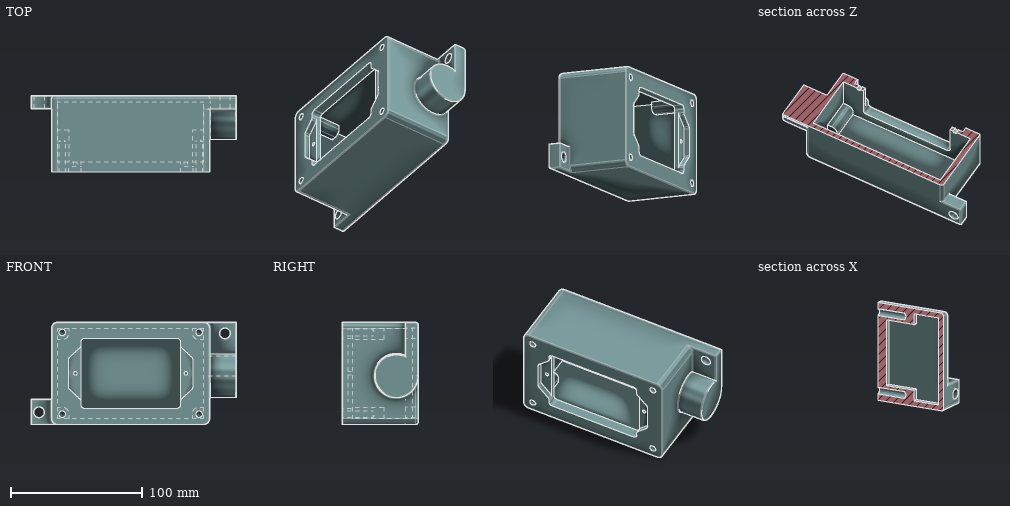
import cadquery as cq
import math

total_length = 156.8
body_depth = 58.3
body_height = 78.3
body_left = 15.7
body_right = 136.5
corner_radius = 4.7
back_radius = 2.4
edge_radius = 0.6

wall = 4.7
lip_thickness = 7.8
opening_length = 76.0
opening_height = 53.5
opening_radius = 2.8

ear_span = 94.9
ear_tip_height = 22.9
ear_root_height = 40.6
ear_recess = 4.4
ear_corner_radius = 2.4
ear_hole_spacing = 84.4
ear_hole_diameter = 2.7

screw_spacing_x = 104.5
screw_spacing_z = 62.5
screw_diameter = 5.0
screw_depth = 23.5
drill_point_angle = 118
boss_size = 8.5
boss_radius = 4.7
boss_length = 24.3

lug_thickness = 10.0
left_lug_height = 19.5
lug_hole_diameter = 8.0
left_hole = (6.1, 9.4)
right_hole = (148.0, 69.6)

hub_radius = 16.6
hub_axis_from_back = 17.0
hub_axis_z = 37.2

center_x = (body_left + body_right) / 2
center_z = body_height / 2
lug_front_y = body_depth - lug_thickness
hub_axis_y = body_depth - hub_axis_from_back
lug_y = (lug_front_y, body_depth)
cavity_x = (body_left + wall, body_right - wall)
cavity_y = (lip_thickness, body_depth - wall)
cavity_z = (wall, body_height - wall)


def box(x_range, y_range, z_range):
    """Box between two limits on each axis."""
    (x0, x1), (y0, y1), (z0, z1) = x_range, y_range, z_range
    return cq.Workplane("XY").box(x1 - x0, y1 - y0, z1 - z0, centered=False).translate((x0, y0, z0))


def front_sketch():
    """Sketch plane on the front face, centred on the body."""
    return cq.Workplane("XZ", origin=(center_x, 0, center_z))


def make_body():
    body = box((body_left, body_right), (0, body_depth), (0, body_height))
    body = body.edges("|Y").fillet(corner_radius)
    body = body.faces(">Y").edges().fillet(back_radius)
    return body.faces("<Y").edges().fillet(edge_radius)


def make_left_lug():
    lug = box((0, body_left + corner_radius), lug_y, (0, left_lug_height))
    lug = lug.edges(">Y and <Z").fillet(back_radius)
    return lug.faces("<X or <Y or >Z").edges("not >X").fillet(edge_radius)


def make_right_lug_and_hub():
    """Lug from the hub axis up to the top, joined to the round hub."""
    start_x = body_right - corner_radius
    lug = box((start_x, total_length), lug_y, (hub_axis_z, body_height))
    lug = lug.edges(">Y and >Z").fillet(back_radius)
    lug = lug.edges("<Y and >Z").fillet(edge_radius)
    hub = cq.Workplane("YZ", origin=(start_x, hub_axis_y, hub_axis_z)).circle(hub_radius)
    hub = hub.extrude(total_length - start_x)
    return lug.union(hub).faces(">X").edges().fillet(edge_radius)


def make_boss(side_x, side_z):
    """Screw boss filling one corner of the cavity, rounded toward the middle."""
    x_wall = cavity_x[side_x]
    z_wall = cavity_z[side_z]
    x_inner = x_wall + boss_size * (1 - 2 * side_x)
    z_inner = z_wall + boss_size * (1 - 2 * side_z)
    boss_y = (lip_thickness, lip_thickness + boss_length)
    boss = box(sorted((x_wall, x_inner)), boss_y, sorted((z_wall, z_inner)))
    inner_edge = ("<X" if side_x else ">X") + " and " + ("<Z" if side_z else ">Z")
    return boss.edges("|Y").edges(inner_edge).fillet(boss_radius)


def make_cavity():
    cavity = box(cavity_x, cavity_y, cavity_z)
    for side_x in (0, 1):
        for side_z in (0, 1):
            cavity = cavity.cut(make_boss(side_x, side_z))
    return cavity


def make_opening():
    """Window through the lip with a shallow, round-cornered ear on each side."""
    opening = front_sketch().rect(opening_length, opening_height).extrude(-lip_thickness)
    opening = opening.edges("|Y").fillet(opening_radius)
    tip_x, root_x = ear_span / 2, opening_length / 2
    tip_z, root_z = ear_tip_height / 2, ear_root_height / 2
    outline = [
        (-tip_x, -tip_z), (-root_x, -root_z), (root_x, -root_z), (tip_x, -tip_z),
        (tip_x, tip_z), (root_x, root_z), (-root_x, root_z), (-tip_x, tip_z),
    ]
    ears = front_sketch().polyline(outline).close().extrude(-ear_recess)
    ears = ears.edges("|Y and (<X or >X)").fillet(ear_corner_radius)
    pocket = opening.union(ears)
    root_points = [
        (center_x + side_x * root_x, ear_recess / 2, center_z + side_z * root_z)
        for side_x in (-1, 1)
        for side_z in (-1, 1)
    ]
    roots = [pocket.edges(cq.selectors.NearestToPointSelector(p)).val() for p in root_points]
    pocket = pocket.newObject(roots).fillet(ear_corner_radius)
    ear_holes = front_sketch().rarray(ear_hole_spacing, 1.5, 2, 1)
    ear_holes = ear_holes.circle(ear_hole_diameter / 2).extrude(-lip_thickness)
    return pocket.union(ear_holes)


def make_screw_holes():
    """Blind holes with a drill point at the bottom."""
    radius = screw_diameter / 2
    point = radius / math.tan(math.radians(drill_point_angle / 2))
    profile = [(0, 0), (radius, 0), (radius, screw_depth), (0, screw_depth + point)]
    hole = cq.Workplane("XY").polyline(profile).close().revolve(360, (0, 0), (0, 1)).val()
    corners = front_sketch().rect(screw_spacing_x, screw_spacing_z, forConstruction=True).vertices()
    holes = [hole.moved(cq.Location(corner.Center())) for corner in corners.vals()]
    return cq.Workplane(cq.Compound.makeCompound(holes))


def make_lug_hole(center):
    x, z = center
    hole = cq.Workplane("XZ", origin=(x, lug_front_y, z)).circle(lug_hole_diameter / 2)
    return hole.extrude(-lug_thickness)


def make_outside():
    """Body with both lugs and the hub, blended where they meet its sides."""
    outside = make_body().union(make_left_lug()).union(make_right_lug_and_hub())
    joint_points = [
        (body_left, lug_front_y, left_lug_height / 2),
        (body_right, lug_front_y, right_hole[1]),
        (body_right, hub_axis_y, hub_axis_z),
    ]
    joints = [outside.edges(cq.selectors.NearestToPointSelector(p)).val() for p in joint_points]
    return outside.newObject(joints).fillet(edge_radius)


result = (
    make_outside()
    .cut(make_cavity())
    .cut(make_opening())
    .cut(make_screw_holes())
    .cut(make_lug_hole(left_hole))
    .cut(make_lug_hole(right_hole))
)